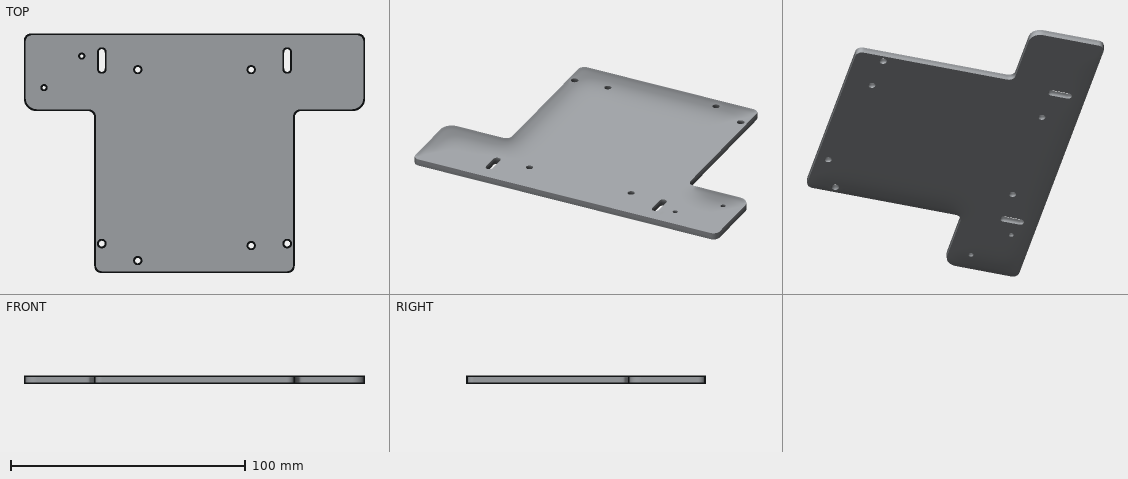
import cadquery as cq

length = 145.0
depth = 101.6
thickness = 3.0
stem_width = 85.0
bar_depth = 32.5

corner_radius = 2.9
bar_lower_radius = 5.1

slot_spacing = 79.2
slot_width = 3.2
slot_length = 10.5
slot_y = 39.6
foot_hole_y = -38.5

mount_diameter = 3.0
mount_spacing = 48.5
mount_upper_y = 35.7
mount_lower_left_y = -45.8
mount_lower_right_y = -39.5

small_diameter = 2.2
small_centers = [(-48.1, 41.5), (-64.2, 28.0)]

bar_center_y = (depth - bar_depth) / 2


def make_plate():
    """T-shaped plate with rounded corners."""
    bar = (
        cq.Workplane("XY")
        .box(length, bar_depth, thickness)
        .translate((0, bar_center_y, 0))
    )
    stem = cq.Workplane("XY").box(stem_width, depth, thickness)
    plate = bar.union(stem).clean()

    edges = plate.edges("|Z").vals()
    arm_lower_edges = [
        edge
        for edge in edges
        if abs(edge.Center().x) > stem_width / 2 + corner_radius and edge.Center().y < bar_center_y
    ]
    plate = plate.newObject(arm_lower_edges).fillet(bar_lower_radius)

    upper_corners = plate.faces(">Y").edges("|Z").vals()
    foot_corners = plate.faces("<Y").edges("|Z").vals()
    shoulder_corners = [
        edge
        for edge in plate.edges("|Z").vals()
        if abs(edge.Center().x) < stem_width / 2 + corner_radius and edge.Center().y > 0
    ]
    return plate.newObject(upper_corners + foot_corners + shoulder_corners).fillet(corner_radius)


def cut_holes(plate, centers, diameter):
    """Drill through holes at the given XY centres."""
    cutters = (
        cq.Workplane("XY")
        .pushPoints(centers)
        .circle(diameter / 2)
        .extrude(thickness, both=True)
    )
    return plate.cut(cutters)


def cut_slots(plate, centers):
    """Cut round-ended through slots running along Y."""
    cutters = (
        cq.Workplane("XY")
        .pushPoints(centers)
        .slot2D(slot_length, slot_width, 90)
        .extrude(thickness, both=True)
    )
    return plate.cut(cutters)


slot_x = slot_spacing / 2
mount_x = mount_spacing / 2
mount_centers = [
    (-mount_x, mount_upper_y),
    (mount_x, mount_upper_y),
    (-mount_x, mount_lower_left_y),
    (mount_x, mount_lower_right_y),
]

result = make_plate()
result = cut_slots(result, [(-slot_x, slot_y), (slot_x, slot_y)])
result = cut_holes(result, [(-slot_x, foot_hole_y), (slot_x, foot_hole_y)], slot_width)
result = cut_holes(result, mount_centers, mount_diameter)
result = cut_holes(result, small_centers, small_diameter)